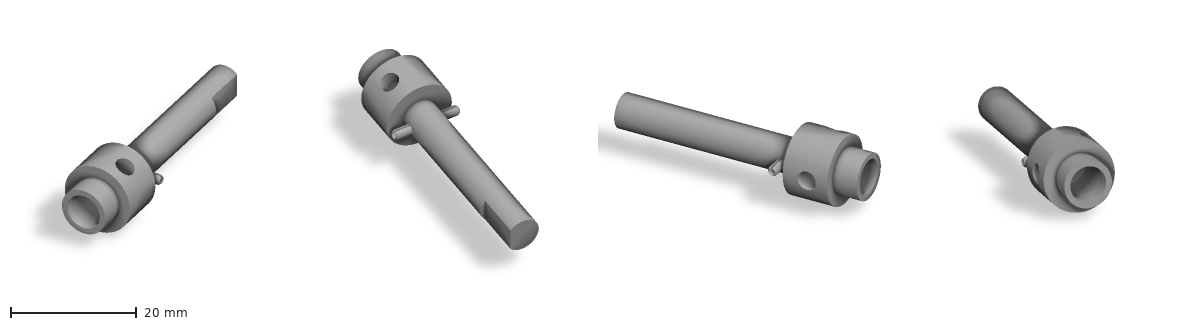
import cadquery as cq
import math

TOTAL_LENGTH = 44.5

NOSE_DIAMETER = 8.0
NOSE_LENGTH = 4.3
COLLAR_DIAMETER = 12.0
COLLAR_LENGTH = 8.0
COLLAR_END = NOSE_LENGTH + COLLAR_LENGTH
SHANK_DIAMETER = 6.0
SHANK_LENGTH = TOTAL_LENGTH - COLLAR_END

BORE_DIAMETER = SHANK_DIAMETER
BORE_DEPTH = 10.0
DRILL_POINT_ANGLE = 118.0

SCREW_HOLE_DIAMETER = 3.35
SCREW_HOLE_Y = 8.0
SCREW_HOLE_ANGLES = (60.0, 180.0)

FLAT_LENGTH = 8.0
FLAT_DEPTH = 0.8

PIN_DIAMETER = 1.75
PIN_BORE_DIAMETER = 1.15
PIN_LENGTH = COLLAR_DIAMETER
PIN_CHAMFER_LENGTH = 0.4
PIN_CHAMFER_DEPTH = 0.25
PIN_SLOT_WIDTH = 0.25
PIN_FROM_COLLAR = 2.0
PIN_Y = COLLAR_END + PIN_FROM_COLLAR


def y_cylinder(diameter, start, length):
    """Cylinder on the Y axis, running toward +Y from the start position."""
    return cq.Workplane(cq.Solid.makeCylinder(
        diameter / 2, length, cq.Vector(0, start, 0), cq.Vector(0, 1, 0)))


def x_cylinder(diameter, y):
    """Pin-length cylinder parallel to X, centred on X = 0 at the given Y."""
    return cq.Workplane(cq.Solid.makeCylinder(
        diameter / 2, PIN_LENGTH, cq.Vector(-PIN_LENGTH / 2, y, 0), cq.Vector(1, 0, 0)))


def make_bore():
    """Bore cavity: a cylinder ending in a cone."""
    radius = BORE_DIAMETER / 2
    point_length = radius / math.tan(math.radians(DRILL_POINT_ANGLE / 2))
    profile = [(0, 0), (radius, 0), (radius, BORE_DEPTH), (0, BORE_DEPTH + point_length)]
    return cq.Workplane("XY").polyline(profile).close().revolve(360, (0, 0, 0), (0, 1, 0))


def make_screw_hole(angle):
    """Radial hole from the holder axis out through the collar wall."""
    direction = cq.Vector(math.cos(math.radians(angle)), 0, math.sin(math.radians(angle)))
    return cq.Workplane(cq.Solid.makeCylinder(
        SCREW_HOLE_DIAMETER / 2, COLLAR_DIAMETER, cq.Vector(0, SCREW_HOLE_Y, 0), direction))


def make_flat():
    """Block that cuts the flat on the shank end."""
    flat_x = SHANK_DIAMETER / 2 - FLAT_DEPTH
    return (
        cq.Workplane("XY")
        .box(SHANK_DIAMETER, FLAT_LENGTH, SHANK_DIAMETER, centered=(False, False, True))
        .translate((flat_x, TOTAL_LENGTH - FLAT_LENGTH, 0))
    )


def make_holder():
    """Stepped holder with bore, screw holes, shank flat and pin hole."""
    body = y_cylinder(NOSE_DIAMETER, 0, NOSE_LENGTH)
    body = body.union(y_cylinder(COLLAR_DIAMETER, NOSE_LENGTH, COLLAR_LENGTH))
    body = body.union(y_cylinder(SHANK_DIAMETER, COLLAR_END, SHANK_LENGTH))
    body = body.cut(make_bore())
    for angle in SCREW_HOLE_ANGLES:
        body = body.cut(make_screw_hole(angle))
    body = body.cut(make_flat())
    return body.cut(x_cylinder(PIN_DIAMETER, PIN_Y))


def make_spring_pin():
    """Hollow pin with chamfered ends and a full-length slot facing +Z."""
    pin_half = PIN_LENGTH / 2
    radius = PIN_DIAMETER / 2
    end_radius = radius - PIN_CHAMFER_DEPTH
    shoulder = pin_half - PIN_CHAMFER_LENGTH
    profile = [
        (-pin_half, 0),
        (-pin_half, end_radius),
        (-shoulder, radius),
        (shoulder, radius),
        (pin_half, end_radius),
        (pin_half, 0),
    ]
    pin = cq.Workplane("XY").polyline(profile).close().revolve(360, (0, 0, 0), (1, 0, 0))
    pin = pin.translate((0, PIN_Y, 0)).cut(x_cylinder(PIN_BORE_DIAMETER, PIN_Y))
    slot = (
        cq.Workplane("XY")
        .box(PIN_LENGTH, PIN_SLOT_WIDTH, PIN_DIAMETER, centered=(True, True, False))
        .translate((0, PIN_Y, 0))
    )
    return pin.cut(slot)


holder = make_holder()
spring_pin = make_spring_pin()

result = cq.Compound.makeCompound([holder.val(), spring_pin.val()])